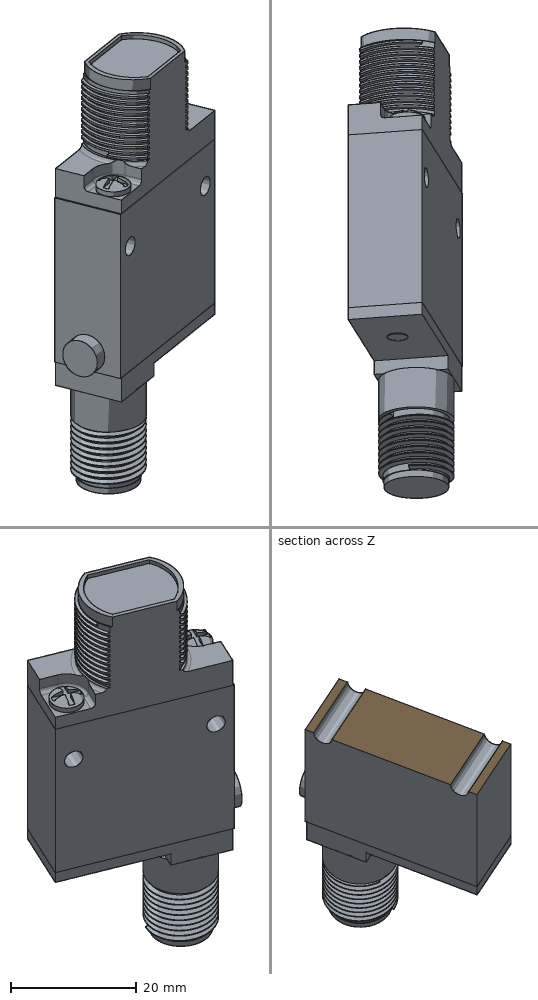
import cadquery as cq

width = 12.1
half_width = width / 2
back_y = 15.4
housing_front_y = -15.4
plate_front_y = -15.1
total_height = 72.0

nose_top_z = 1.1
connector_thread_bottom_z = 1.15
collar_bottom_z = 11.5
step_bottom_z = 18.2
cover_bottom_z = 20.5
housing_bottom_z = 22.5
housing_top_z = 51.9
block_top_z = 57.0
barrel_thread_bottom_z = 57.7
barrel_thread_top_z = 70.0
lip_bottom_z = 70.05

mount_hole_radius = 1.6
mount_hole_y = 12.25
mount_hole_z = 44.85

barrel_radius = 8.5
barrel_crest_radius = 9.0
barrel_pitch = 1.0
barrel_root_width = 0.65
barrel_crest_width = 0.35
base_radius = 8.9
base_fillet = 0.65
lip_end_radius = 7.7
pocket_radius = 3.75
pocket_floor_z = 54.35
pocket_fillet = 0.8
window_half_width = 5.4
window_radius = 7.55
window_recess = 0.7
lens_thickness = 1.0

screw_x = 2.95
screw_y = -12.25
screw_radius = 2.8
screw_rim_height = 0.85
screw_height = 2.0
screw_slot_width = 0.9
screw_slot_depth = 0.85

step_back_y = -4.45
connector_y = -8.6
connector_radius = half_width
connector_core_radius = 5.3
connector_pitch = 1.06
connector_root_width = 0.9
connector_crest_width = 0.15
nose_radius = 5.2

button_radius = 3.2
button_length = 2.45
indicator_y = 6.0
indicator_radius = 1.65
indicator_depth = 0.7
indicator_height = 0.15

thread_embed = 0.15
pocket_overshoot = 3.6
trim_allowance = 7.2


def block(x_size, y_from, y_to, z_from, z_to):
    """Box centred on X between the given Y and Z limits."""
    return (
        cq.Workplane("XY", origin=(0, (y_from + y_to) / 2, z_from))
        .box(x_size, y_to - y_from, z_to - z_from, centered=(True, True, False))
    )


def post(radius, z_from, z_to):
    """Vertical cylinder on the Z axis."""
    return cq.Workplane("XY", origin=(0, 0, z_from)).circle(radius).extrude(z_to - z_from)


def flatted_post(radius, half_flat, z_from, z_to):
    """Vertical cylinder with two flats facing +X and -X."""
    return post(radius, z_from, z_to).intersect(block(2 * half_flat, -radius, radius, z_from, z_to))


def thread_ridge(core_radius, crest_radius, pitch, root_width, crest_width, z_from, z_to, start_angle):
    """Right-hand helical ridge around the Z axis between two levels; start_angle counts from +X."""
    start_z = z_from + root_width / 2
    length = z_to - z_from - root_width
    root_radius = core_radius - thread_embed
    path = cq.Workplane(obj=cq.Wire.makeHelix(pitch, length, root_radius))
    return (
        cq.Workplane("XZ")
        .polyline([
            (root_radius, -root_width / 2),
            (crest_radius, -crest_width / 2),
            (crest_radius, crest_width / 2),
            (root_radius, root_width / 2),
        ])
        .close()
        .sweep(path, isFrenet=True)
        .rotate((0, 0, 0), (0, 0, 1), start_angle)
        .translate((0, 0, start_z))
    )


def make_housing():
    body = block(width, housing_front_y, back_y, housing_bottom_z, housing_top_z)
    holes = (
        cq.Workplane("YZ", origin=(-half_width, 0, 0))
        .pushPoints([(-mount_hole_y, mount_hole_z), (mount_hole_y, mount_hole_z)])
        .circle(mount_hole_radius)
        .extrude(width)
    )
    return body.cut(holes)


def make_barrel():
    """Round barrel: flared foot standing on the block, then the plain core of the thread."""
    foot_top_z = block_top_z + base_fillet
    flare_radius = base_radius + base_fillet
    arc_offset = base_fillet * (1 - 0.5 ** 0.5)
    return (
        cq.Workplane("XZ")
        .moveTo(0, block_top_z)
        .lineTo(flare_radius, block_top_z)
        .threePointArc(
            (base_radius + arc_offset, block_top_z + arc_offset),
            (base_radius, foot_top_z),
        )
        .lineTo(barrel_radius, foot_top_z)
        .lineTo(barrel_radius, lip_bottom_z)
        .lineTo(0, lip_bottom_z)
        .close()
        .revolve(360, (0, 0, 0), (0, 1, 0))
    )


def make_lip():
    """Plain rim on top of the barrel, with round ends slightly tighter than the barrel."""
    return (
        cq.Workplane("XY", origin=(0, 0, lip_bottom_z))
        .slot2D(2 * barrel_radius, 2 * lip_end_radius, 90)
        .extrude(total_height - lip_bottom_z)
    )


def make_screw_pocket():
    """Cutter for the pocket around the screw at +X, -Y."""
    length = screw_y + pocket_radius - plate_front_y + pocket_overshoot
    span = half_width - screw_x + pocket_radius + pocket_overshoot
    return (
        cq.Workplane("XY", origin=(screw_x - pocket_radius, plate_front_y - pocket_overshoot, pocket_floor_z))
        .box(span, length, barrel_thread_bottom_z - pocket_floor_z, centered=False)
        .edges("|Z and <X and >Y")
        .fillet(pocket_radius)
        .faces("<Z")
        .edges()
        .fillet(pocket_fillet)
    )


def make_lens():
    lens_top_z = total_height - window_recess
    return flatted_post(window_radius, window_half_width, lens_top_z - lens_thickness, lens_top_z)


def make_head():
    wide_block = block(width + trim_allowance, plate_front_y, back_y, housing_top_z, block_top_z)
    ridge = thread_ridge(
        barrel_radius, barrel_crest_radius, barrel_pitch,
        barrel_root_width, barrel_crest_width, barrel_thread_bottom_z, barrel_thread_top_z, 270,
    )
    side_trim = block(width, plate_front_y, back_y, housing_top_z, total_height)
    body = wide_block.union(make_barrel()).union(make_lip())
    body = body.union(ridge, clean=False).intersect(side_trim, clean=False)
    pocket = make_screw_pocket()
    for angle in (0, 180):
        body = body.cut(pocket.rotate((0, 0, 0), (0, 0, 1), angle), clean=False)
    window = flatted_post(
        window_radius, window_half_width, total_height - window_recess - lens_thickness, total_height
    )
    return body.cut(window, clean=False)


def make_screw(angle):
    """Screw resting on its pocket floor, turned about the head axis by angle."""
    dome_rise = screw_height - screw_rim_height
    dome_radius = (screw_radius ** 2 + dome_rise ** 2) / (2 * dome_rise)
    dome = cq.Workplane("XY", origin=(0, 0, screw_height - dome_radius)).sphere(dome_radius)
    screw = post(screw_radius, 0, screw_height).intersect(dome)
    slot_floor = screw_height - screw_slot_depth
    for turn in (0, 90):
        slot = block(screw_slot_width, -screw_radius, screw_radius, slot_floor, screw_height)
        screw = screw.cut(slot.rotate((0, 0, 0), (0, 0, 1), turn))
    return screw.translate((screw_x, screw_y, pocket_floor_z)).rotate((0, 0, 0), (0, 0, 1), angle)


def make_indicator():
    """Round indicator sunk into the underside of the cover."""
    return (
        post(indicator_radius, cover_bottom_z - indicator_height, cover_bottom_z + indicator_depth)
        .translate((0, indicator_y, 0))
    )


def make_cover():
    plate = block(width, plate_front_y, back_y, cover_bottom_z, housing_bottom_z)
    step = block(width, plate_front_y, step_back_y, step_bottom_z, housing_bottom_z)
    return plate.union(step).cut(make_indicator())


def make_connector():
    collar = post(connector_radius, collar_bottom_z, step_bottom_z)
    core = post(connector_core_radius, nose_top_z, collar_bottom_z)
    nose = post(nose_radius, 0, nose_top_z)
    ridge = thread_ridge(
        connector_core_radius, connector_radius, connector_pitch,
        connector_root_width, connector_crest_width, connector_thread_bottom_z, collar_bottom_z, 90,
    )
    body = core.union(collar).union(nose)
    return body.union(ridge, clean=False).translate((0, connector_y, 0))


def make_button():
    return (
        cq.Workplane("XZ", origin=(0, housing_front_y, housing_bottom_z + button_radius))
        .circle(button_radius)
        .extrude(button_length)
    )


housing = make_housing()
head = make_head()
lens = make_lens()
cover = make_cover()
connector = make_connector()
button = make_button()
indicator = make_indicator()
screws = [make_screw(angle) for angle in (0, 180)]

result = cq.Compound.makeCompound([
    housing.val(),
    head.val(),
    lens.val(),
    cover.val(),
    connector.val(),
    button.val(),
    indicator.val(),
    *[screw.val() for screw in screws],
])